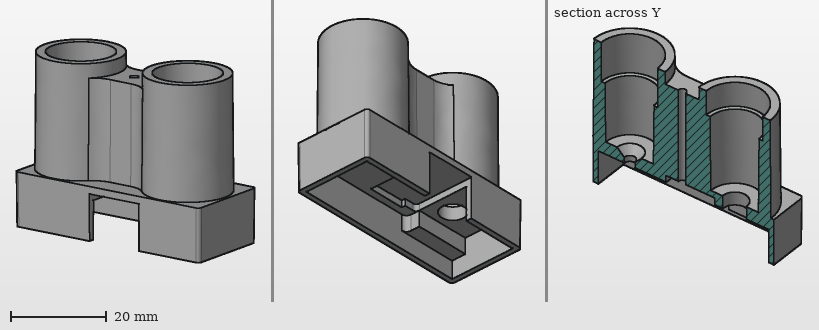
import cadquery as cq
import math

BASE_LENGTH = 47.9
BASE_WIDTH = 20.05
BASE_HEIGHT = 11.9
BASE_CORNER_RADIUS = 0.8
DRAFT = 0.5

TOTAL_HEIGHT = 37.3
BRIDGE_TOP = 34.15
PAIR_CENTER_X = -0.4
PAIR_CENTER_Y = 0.1
TOWER_SPACING = 27.7
TOWER_BOTTOM_RADIUS = 9.65
BRIDGE_HALF_WIDTH = 5.0
BRIDGE_FLAT_HALF_LENGTH = 2.7

UPPER_BORE_RADIUS = 7.4
LOWER_BORE_TOP_RADIUS = 6.4
LOWER_BORE_FLOOR_RADIUS = 6.22
BORE_FLOOR = BASE_HEIGHT
LEFT_LEDGE_DEPTH = 10.15
RIGHT_LEDGE_DEPTH = 6.22

FUNNEL_TOP_RADIUS = 3.2
LEFT_HOLE_RADIUS = 1.4
RIGHT_OPENING_RADIUS = 3.1
BRIDGE_HOLE_RADIUS = 0.95

WALL = 1.35
CAVITY_HEIGHT = 8.55

SLOT_LEFT = -4.6
SLOT_RIGHT = 8.25
SLOT_HEIGHT = 10.3
POCKET_STEP_X = 4.9
POCKET_DEEP_Y = 6.7
POCKET_SHALLOW_Y = 5.75
POCKET_CORNER_RADIUS = 0.9

BLOCK_BOTTOM = 4.55
BLOCK_FRONT_Y = 4.8
BLOCK_FILLET = 1.35

left_x = PAIR_CENTER_X - TOWER_SPACING / 2
right_x = PAIR_CENTER_X + TOWER_SPACING / 2
funnel_bottom = BORE_FLOOR - (FUNNEL_TOP_RADIUS - LEFT_HOLE_RADIUS)
slope = math.tan(math.radians(DRAFT))
front_y = -BASE_WIDTH / 2
cavity_length = BASE_LENGTH - 2 * (BASE_HEIGHT * slope + WALL)
cavity_width = BASE_WIDTH - 2 * (BASE_HEIGHT * slope + WALL)
cavity_right_x = cavity_length / 2
cavity_back_y = cavity_width / 2 - CAVITY_HEIGHT * slope


def cone(x, z_bottom, z_top, bottom_radius, top_radius):
    """Upright cone or cylinder on the towers' centre plane."""
    profile = [(0, z_bottom), (bottom_radius, z_bottom), (top_radius, z_top), (0, z_top)]
    return (
        cq.Workplane("XZ")
        .polyline(profile)
        .close()
        .revolve(360, (0, 0, 0), (0, 1, 0))
        .translate((x, PAIR_CENTER_Y, 0))
    )


def base():
    return (
        cq.Workplane("XY")
        .workplane(offset=BASE_HEIGHT)
        .rect(BASE_LENGTH, BASE_WIDTH)
        .extrude(-BASE_HEIGHT, taper=DRAFT)
        .edges("not(|X or |Y)")
        .fillet(BASE_CORNER_RADIUS)
    )


def tower(x):
    top_radius = TOWER_BOTTOM_RADIUS - (TOTAL_HEIGHT - BASE_HEIGHT) * slope
    return cone(x, BASE_HEIGHT, TOTAL_HEIGHT, TOWER_BOTTOM_RADIUS, top_radius)


def bridge():
    """Web whose flat sides sweep into both towers through tangent arcs."""
    half = BRIDGE_HALF_WIDTH
    flat = BRIDGE_FLAT_HALF_LENGTH
    center_x = TOWER_SPACING / 2
    reach = center_x - flat
    arc_radius = (reach**2 + half**2 - TOWER_BOTTOM_RADIUS**2) / (2 * (TOWER_BOTTOM_RADIUS - half))
    arc_center_y = half + arc_radius
    angle = math.atan2(reach, arc_center_y)
    tangent_x = flat + arc_radius * math.sin(angle)
    tangent_y = arc_center_y - arc_radius * math.cos(angle)
    mid_x = flat + arc_radius * math.sin(angle / 2)
    mid_y = arc_center_y - arc_radius * math.cos(angle / 2)
    outline = (
        cq.Workplane("XY")
        .workplane(offset=BASE_HEIGHT)
        .center(PAIR_CENTER_X, PAIR_CENTER_Y)
        .moveTo(-flat, -half)
        .lineTo(flat, -half)
        .threePointArc((mid_x, -mid_y), (tangent_x, -tangent_y))
        .lineTo(center_x, 0)
        .lineTo(tangent_x, tangent_y)
        .threePointArc((mid_x, mid_y), (flat, half))
        .lineTo(-flat, half)
        .threePointArc((-mid_x, mid_y), (-tangent_x, tangent_y))
        .lineTo(-center_x, 0)
        .lineTo(-tangent_x, -tangent_y)
        .threePointArc((-mid_x, -mid_y), (-flat, -half))
        .close()
    )
    return outline.extrude(BRIDGE_TOP - BASE_HEIGHT, taper=DRAFT)


def bore(x, ledge_depth):
    ledge = TOTAL_HEIGHT - ledge_depth
    upper = cone(x, ledge, TOTAL_HEIGHT, UPPER_BORE_RADIUS, UPPER_BORE_RADIUS)
    lower = cone(x, BORE_FLOOR, ledge, LOWER_BORE_FLOOR_RADIUS, LOWER_BORE_TOP_RADIUS)
    return upper.union(lower)


def corner_block():
    """Hanging block whose left face curves into the back wall of the cavity."""
    back_y = cavity_back_y + WALL / 2
    return (
        cq.Workplane("XY")
        .workplane(offset=BLOCK_BOTTOM)
        .moveTo(SLOT_RIGHT, BLOCK_FRONT_Y)
        .lineTo(SLOT_RIGHT, cavity_back_y - BLOCK_FILLET)
        .radiusArc((SLOT_RIGHT - BLOCK_FILLET, cavity_back_y), -BLOCK_FILLET)
        .lineTo(SLOT_RIGHT - BLOCK_FILLET, back_y)
        .lineTo(cavity_right_x, back_y)
        .lineTo(cavity_right_x, BLOCK_FRONT_Y)
        .close()
        .extrude(CAVITY_HEIGHT - BLOCK_BOTTOM)
    )


def cavity():
    space = cq.Workplane("XY").rect(cavity_length, cavity_width).extrude(CAVITY_HEIGHT, taper=DRAFT)
    return space.cut(corner_block())


def slot():
    """Window through the front wall from the bottom edge upwards."""
    return (
        cq.Workplane("XY")
        .box(SLOT_RIGHT - SLOT_LEFT, 2 * WALL, SLOT_HEIGHT, centered=False)
        .translate((SLOT_LEFT, front_y, 0))
    )


def ceiling_pocket():
    """Recess above the cavity ceiling with a stepped back and one rounded corner."""
    return (
        cq.Workplane("XY")
        .workplane(offset=CAVITY_HEIGHT)
        .moveTo(SLOT_LEFT, front_y)
        .lineTo(SLOT_RIGHT, front_y)
        .lineTo(SLOT_RIGHT, POCKET_SHALLOW_Y - POCKET_CORNER_RADIUS)
        .radiusArc((SLOT_RIGHT - POCKET_CORNER_RADIUS, POCKET_SHALLOW_Y), -POCKET_CORNER_RADIUS)
        .lineTo(POCKET_STEP_X, POCKET_SHALLOW_Y)
        .lineTo(POCKET_STEP_X, POCKET_DEEP_Y)
        .lineTo(SLOT_LEFT, POCKET_DEEP_Y)
        .close()
        .extrude(SLOT_HEIGHT - CAVITY_HEIGHT)
    )


result = base().union(bridge()).union(tower(left_x)).union(tower(right_x))
result = result.cut(cavity()).cut(slot()).cut(ceiling_pocket())
result = result.cut(bore(left_x, LEFT_LEDGE_DEPTH)).cut(bore(right_x, RIGHT_LEDGE_DEPTH))
result = result.cut(cone(left_x, funnel_bottom, BORE_FLOOR, LEFT_HOLE_RADIUS, FUNNEL_TOP_RADIUS))
result = result.cut(cone(left_x, CAVITY_HEIGHT, funnel_bottom, LEFT_HOLE_RADIUS, LEFT_HOLE_RADIUS))
result = result.cut(cone(right_x, CAVITY_HEIGHT, BORE_FLOOR, RIGHT_OPENING_RADIUS, RIGHT_OPENING_RADIUS))
result = result.cut(cone(PAIR_CENTER_X, CAVITY_HEIGHT, BRIDGE_TOP, BRIDGE_HOLE_RADIUS, BRIDGE_HOLE_RADIUS))